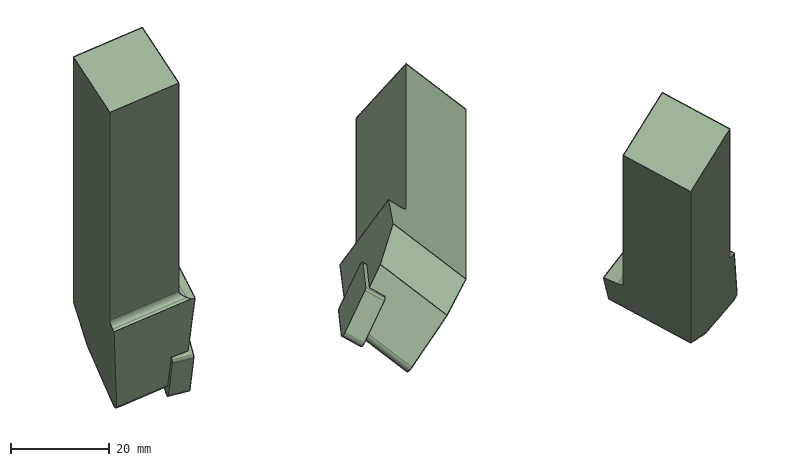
import cadquery as cq
import math

OVERALL_LENGTH = 101.4
SHANK_SIZE = 15.9

SHOULDER_ANGLE = 15.0
SHOULDER_RADIUS = 1.6
SHOULDER_BASE_Z = 28.5
HEAD_DEPTH = 20.6
SHOULDER_SLOPE = math.tan(math.radians(SHOULDER_ANGLE))

HEAD_SHOULDER_X = 17.7
HEAD_TIP_X = 19.0
HEAD_TIP_Z = 1.4
HEAD_TIP_RADIUS = 1.1
HEEL_X = 6.0
HEEL_Z = 9.2
BACK_Z = 17.0

RAKE_FALL_X = 0.11
RAKE_RISE_Z = 0.12

INSERT_CIRCLE = 9.5
INSERT_ANGLE = 55.0
INSERT_THICKNESS = 4.8
INSERT_RADIUS = 0.8
INSERT_TIP = (20.5, 15.9)
INSERT_EDGE_LEAN = 0.06


def side_profile():
    """XZ outline of shank and head, extruded through the whole depth."""
    shoulder_z = SHOULDER_BASE_Z - (HEAD_SHOULDER_X - SHANK_SIZE) * SHOULDER_SLOPE
    outline = (
        cq.Workplane("XZ")
        .moveTo(0, OVERALL_LENGTH)
        .lineTo(SHANK_SIZE, OVERALL_LENGTH)
        .lineTo(SHANK_SIZE, SHOULDER_BASE_Z)
        .lineTo(HEAD_SHOULDER_X, shoulder_z)
        .lineTo(HEAD_TIP_X, HEAD_TIP_Z)
        .lineTo(HEEL_X, HEEL_Z)
        .lineTo(0, BACK_Z)
        .close()
        .extrude(-HEAD_DEPTH)
    )
    neck = cq.NearestToPointSelector((SHANK_SIZE, HEAD_DEPTH / 2, SHOULDER_BASE_Z))
    tip = cq.NearestToPointSelector((HEAD_TIP_X, HEAD_DEPTH / 2, HEAD_TIP_Z))
    rounded = outline.edges("|Y").edges(neck).fillet(SHOULDER_RADIUS)
    return rounded.edges("|Y").edges(tip).fillet(HEAD_TIP_RADIUS)


def depth_profile():
    """YZ outline of shank, shoulder and rake face; the rake face recedes with X."""
    shoulder_z = SHOULDER_BASE_Z - (HEAD_DEPTH - SHANK_SIZE) * SHOULDER_SLOPE
    outline = (
        cq.Workplane("YZ")
        .moveTo(0, OVERALL_LENGTH)
        .lineTo(SHANK_SIZE, OVERALL_LENGTH)
        .lineTo(SHANK_SIZE, SHOULDER_BASE_Z)
        .lineTo(HEAD_DEPTH, shoulder_z)
        .lineTo(HEAD_DEPTH, 0)
        .lineTo(0, 0)
        .close()
        .extrude(HEAD_TIP_X)
    )
    neck = cq.NearestToPointSelector((HEAD_TIP_X / 2, SHANK_SIZE, SHOULDER_BASE_Z))
    rounded = outline.edges("|X").edges(neck).fillet(SHOULDER_RADIUS)
    rake_plane = cq.Plane(
        origin=(0, HEAD_DEPTH, shoulder_z),
        xDir=(1, -RAKE_FALL_X, 0),
        normal=(RAKE_FALL_X, 1, -RAKE_RISE_Z),
    )
    waste_width = 2 * OVERALL_LENGTH
    waste = cq.Workplane(rake_plane).rect(waste_width, waste_width).extrude(HEAD_DEPTH)
    return rounded.cut(waste)


def make_insert():
    """Rhombic prism with rounded corners, square to the rake direction."""
    side = INSERT_CIRCLE / math.sin(math.radians(INSERT_ANGLE))
    run_x = side * math.cos(math.radians(INSERT_ANGLE))
    edge_direction = (
        -INSERT_EDGE_LEAN,
        RAKE_FALL_X * INSERT_EDGE_LEAN + RAKE_RISE_Z,
        1,
    )
    top_plane = cq.Plane(
        origin=(*INSERT_TIP, 0),
        xDir=edge_direction,
        normal=(RAKE_FALL_X, 1, -RAKE_RISE_Z),
    )
    corners = [(0, 0), (side, 0), (side + run_x, -INSERT_CIRCLE), (run_x, -INSERT_CIRCLE)]
    prism = cq.Workplane(top_plane).polyline(corners).close().extrude(-INSERT_THICKNESS)
    rounded = prism.edges(cq.ParallelDirSelector(top_plane.zDir)).fillet(INSERT_RADIUS)
    return rounded.translate((0, 0, -rounded.val().BoundingBox().zmin))


insert = make_insert()
holder = side_profile().intersect(depth_profile()).cut(insert)

result = cq.Compound.makeCompound([holder.val(), insert.val()])